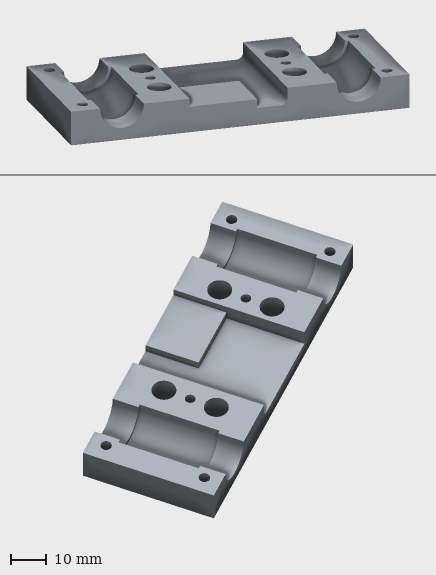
import cadquery as cq

width = 40
length = 100
height = 10

seat_y = 35
channel_diameter = 13
seat_diameter = 15
seat_width = 24.4

recess_back_y = 14
recess_front_y = -15
recess_depth = 5
recess_fillet = 2

pad_left_x = 3.8
pad_back_y = 5
pad_height = 2.6

corner_hole_diameter = 3.2
corner_hole_x = 15
corner_hole_y = 45
large_hole_diameter = 7
large_hole_x = 8
center_hole_diameter = 3
inner_row_y = 20


def box_between(x_range, y_range, z_range):
    """Box spanning the given (low, high) limits on each axis."""
    lows, highs = zip(x_range, y_range, z_range)
    sizes = [high - low for low, high in zip(lows, highs)]
    return cq.Workplane("XY").box(*sizes, centered=False).translate(lows)


def cross_cylinder(diameter, span, y):
    """Cylinder along X, centred on the block's top face."""
    cylinder = cq.Workplane("YZ").circle(diameter / 2).extrude(span)
    return cylinder.translate((-span / 2, y, height))


def drill(body, diameter, points):
    """Cut vertical holes right through the block."""
    return body.cut(cq.Workplane("XY").pushPoints(points).circle(diameter / 2).extrude(height))


half_width = width / 2
floor_z = height - recess_depth

result = cq.Workplane("XY").box(width, length, height, centered=(True, True, False))

recess = box_between(
    (-half_width, half_width), (recess_front_y, recess_back_y), (floor_z, height)
)
recess = recess.edges("|X and >Y and <Z").fillet(recess_fillet)
result = result.cut(recess)

pad = box_between(
    (pad_left_x, half_width), (recess_front_y, pad_back_y), (floor_z, floor_z + pad_height)
)
result = result.union(pad)

for y in (-seat_y, seat_y):
    result = result.cut(cross_cylinder(channel_diameter, width, y))
    result = result.cut(cross_cylinder(seat_diameter, seat_width, y))

corner_points = [(x, y) for x in (-corner_hole_x, corner_hole_x) for y in (-corner_hole_y, corner_hole_y)]
large_points = [(x, y) for x in (-large_hole_x, large_hole_x) for y in (-inner_row_y, inner_row_y)]
center_points = [(0, y) for y in (-inner_row_y, inner_row_y)]
result = drill(result, corner_hole_diameter, corner_points)
result = drill(result, large_hole_diameter, large_points)
result = drill(result, center_hole_diameter, center_points)